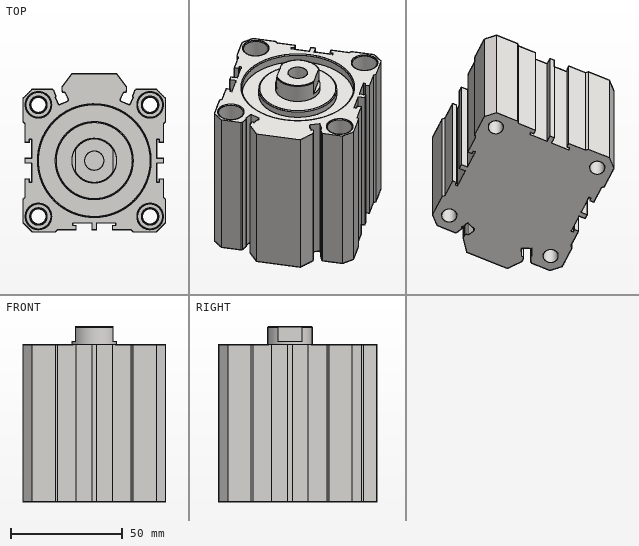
import cadquery as cq


width = 64.0
depth = 71.0
total_height = 78.5
rod_projection = 8.0
half_width = width / 2
top_z = total_height - rod_projection

corner_chamfer = 4.15
side_step = 0.95
side_step_half_length = 17.4

slot_floor_distance = 28.0
slot_lip_distance = 29.05
slot_mouth_half_width = 8.2
slot_floor_half_width = 9.6
rib_width = 2.2

rail_top_y = depth - half_width
rail_top_half_width = 10.05
rail_half_width = 14.5
rail_shoulder_y = 33.0

rail_tip_end = (rail_half_width, 31.5)
rail_tip_corner = (14.2, 30.5)
neck_top = (13.1, 30.5)
neck_bottom = (11.7, 27.7)
groove_floor_inner = (11.7, 26.8)
groove_floor_outer = (15.85, 25.0)
wall_lip_underside = (17.4, 28.3)
wall_lip_corner = (17.0, 28.65)
mouth_bevel_start = (18.1, 31.5)
mouth_half_width = 18.8

hole_spacing = 50.0
hole_radius = 3.4
hole_chamfer = 0.55
counterbore_radius = 5.6
counterbore_depth = 10.0
counterbore_chamfer = 0.4

recess_radius = 25.05
recess_depth = 4.0
recess_chamfer = 0.5
collar_radius = 17.5
collar_drop = 0.6
collar_chamfer = 0.5

rod_radius = 10.05
rod_chamfer = 0.3
rod_socket_depth = 15.7
flat_half_distance = 8.5
flat_height = 6.5
bore_radius = 4.3
bore_depth = 15.0


def box_between(x_min, x_max, y_min, y_max):
    """Full-height box between two X and two Y positions."""
    return cq.Workplane("XY").box(
        x_max - x_min, y_max - y_min, top_z, centered=False
    ).translate((x_min, y_min, 0))


def side_recess():
    """Cutter for the stepped middle and T-slot of the -Y side, rib left standing."""
    face_y = -half_width
    inner_half_length = side_step_half_length - side_step
    step = (
        cq.Workplane("XY")
        .polyline([
            (-side_step_half_length, face_y),
            (side_step_half_length, face_y),
            (inner_half_length, face_y + side_step),
            (-inner_half_length, face_y + side_step),
        ])
        .close()
        .extrude(top_z)
    )
    slot = box_between(-slot_mouth_half_width, slot_mouth_half_width, face_y, -slot_floor_distance)
    undercut = box_between(
        -slot_floor_half_width, slot_floor_half_width, -slot_lip_distance, -slot_floor_distance
    )
    rib = box_between(-rib_width / 2, rib_width / 2, face_y + side_step, -slot_floor_distance)
    return step.union(slot.union(undercut).cut(rib))


def mounting_rail():
    """Hexagonal rail head standing on the +Y side."""
    return (
        cq.Workplane("XY")
        .polyline([
            (-rail_half_width, slot_floor_distance),
            (rail_half_width, slot_floor_distance),
            (rail_half_width, rail_shoulder_y),
            (rail_top_half_width, rail_top_y),
            (-rail_top_half_width, rail_top_y),
            (-rail_half_width, rail_shoulder_y),
        ])
        .close()
        .extrude(top_z)
    )


def rail_groove():
    """Cutter for the slanted sensor groove beside the rail, on the +X half."""
    return (
        cq.Workplane("XY")
        .polyline([
            (rail_half_width, half_width),
            rail_tip_end,
            rail_tip_corner,
            neck_top,
            neck_bottom,
            groove_floor_inner,
            groove_floor_outer,
            wall_lip_underside,
            wall_lip_corner,
            mouth_bevel_start,
            (mouth_half_width, half_width),
        ])
        .close()
        .extrude(top_z)
    )


def mounting_hole():
    """Cutter for one through hole with a counterbore, revolved about Z."""
    counterbore_z = top_z - counterbore_depth
    return (
        cq.Workplane("XZ")
        .polyline([
            (0, 0),
            (hole_radius, 0),
            (hole_radius, counterbore_z - hole_chamfer),
            (hole_radius + hole_chamfer, counterbore_z),
            (counterbore_radius, counterbore_z),
            (counterbore_radius, top_z - counterbore_chamfer),
            (counterbore_radius + counterbore_chamfer, top_z),
            (0, top_z),
        ])
        .close()
        .revolve(360, (0, 0, 0), (0, 1, 0))
    )


def top_recess():
    """Cutter for the round top recess, leaving the chamfered collar standing."""
    floor_z = top_z - recess_depth
    collar_height = recess_depth - collar_drop
    pocket = (
        cq.Workplane("XZ")
        .polyline([
            (0, floor_z),
            (recess_radius, floor_z),
            (recess_radius, top_z - recess_chamfer),
            (recess_radius + recess_chamfer, top_z),
            (0, top_z),
        ])
        .close()
        .revolve(360, (0, 0, 0), (0, 1, 0))
    )
    collar = (
        cq.Workplane("XY", origin=(0, 0, floor_z))
        .circle(collar_radius)
        .extrude(collar_height)
        .faces(">Z")
        .chamfer(collar_chamfer)
    )
    return pocket.cut(collar)


def rod_cylinder():
    """Plain cylinder of the rod, from the socket floor to the rod end."""
    return (
        cq.Workplane("XY", origin=(0, 0, top_z - rod_socket_depth))
        .circle(rod_radius)
        .extrude(rod_projection + rod_socket_depth)
    )


def make_housing():
    """Extruded housing with rail, slots, holes, top recess and rod socket."""
    body = (
        cq.Workplane("XY")
        .rect(width, width)
        .extrude(top_z)
        .edges("|Z")
        .chamfer(corner_chamfer)
        .union(mounting_rail())
    )
    groove = rail_groove()
    body = body.cut(groove).cut(groove.mirror("YZ"))
    for angle in (-90, 0, 90):
        body = body.cut(side_recess().rotate((0, 0, 0), (0, 0, 1), angle))
    for x_side in (-1, 1):
        for y_side in (-1, 1):
            center = (x_side * hole_spacing / 2, y_side * hole_spacing / 2, 0)
            body = body.cut(mounting_hole().translate(center))
    return body.cut(top_recess()).cut(rod_cylinder())


def make_rod():
    """Piston rod with two wrench flats facing X and a blind bore in its end."""
    rod = rod_cylinder().faces(">Z").chamfer(rod_chamfer)
    flat_band = (
        cq.Workplane("XY", origin=(0, 0, total_height - flat_height))
        .rect(2 * rod_radius, 2 * rod_radius)
        .rect(2 * flat_half_distance, 2 * rod_radius)
        .extrude(flat_height)
    )
    bore = (
        cq.Workplane("XY", origin=(0, 0, total_height - bore_depth))
        .circle(bore_radius)
        .extrude(bore_depth)
    )
    return rod.cut(flat_band).cut(bore)


housing = make_housing()
rod = make_rod()

result = cq.Compound.makeCompound([housing.val(), rod.val()])